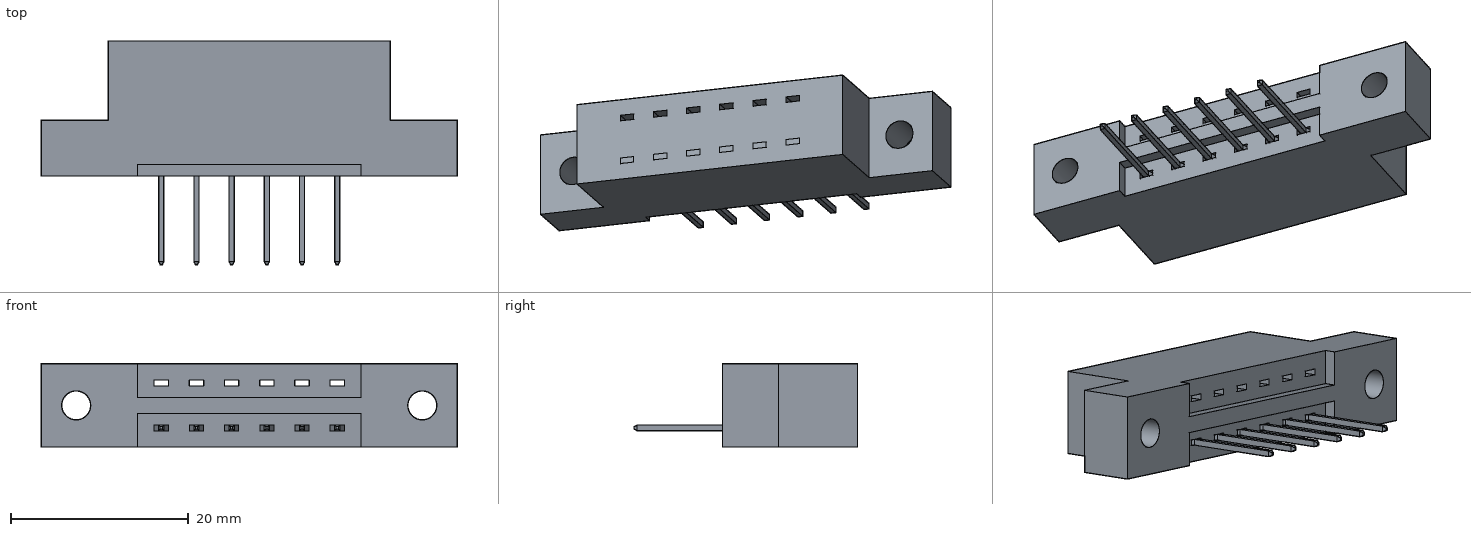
import cadquery as cq

HOUSING_LENGTH = 46.8
HOUSING_HEIGHT = 9.4
FLANGE_DEPTH = 6.3
NOSE_LENGTH = 31.72
NOSE_DEPTH = 8.9
HOUSING_DEPTH = FLANGE_DEPTH + NOSE_DEPTH

MOUNT_HOLE_DIAMETER = 3.25
MOUNT_HOLE_SPACING = 38.95

RECESS_LENGTH = 25.15
RECESS_DEPTH = 1.3
WEB_HEIGHT = 1.82
RECESS_HEIGHT = (HOUSING_HEIGHT - WEB_HEIGHT) / 2

CONTACT_COUNT = 6
CONTACT_ROW_SPAN = 19.8
CONTACT_PITCH = CONTACT_ROW_SPAN / (CONTACT_COUNT - 1)
ROW_OFFSET = 2.55
SLOT_LENGTH = 1.6
SLOT_HEIGHT = 0.65
CONTACT_XS = [i * CONTACT_PITCH - CONTACT_ROW_SPAN / 2 for i in range(CONTACT_COUNT)]

BLADE_WIDTH = SLOT_LENGTH
PIN_HEIGHT = SLOT_HEIGHT
TAIL_WIDTH = 0.6
SHOULDER_START = RECESS_DEPTH
SHOULDER_LENGTH = 1.1
PIN_PROJECTION = 9.95
TIP_LENGTH = 0.37
TIP_SCALE = 0.4


def box_from_front(length, depth, height, x=0, y=0, z=0):
    """Box centred on x and z whose -Y face lies at y."""
    return cq.Workplane("XY").box(length, depth, height, centered=(True, False, True)).translate((x, y, z))


def make_housing():
    """T-shaped block with recesses, mounting holes and contact slots."""
    flange = box_from_front(HOUSING_LENGTH, FLANGE_DEPTH, HOUSING_HEIGHT)
    nose = box_from_front(NOSE_LENGTH, NOSE_DEPTH, HOUSING_HEIGHT, y=FLANGE_DEPTH)
    body = flange.union(nose)

    for side in (-1, 1):
        recess_z = side * (HOUSING_HEIGHT - RECESS_HEIGHT) / 2
        body = body.cut(box_from_front(RECESS_LENGTH, RECESS_DEPTH, RECESS_HEIGHT, z=recess_z))

        mount_hole = cq.Workplane("XZ", origin=(side * MOUNT_HOLE_SPACING / 2, 0, 0))
        body = body.cut(mount_hole.circle(MOUNT_HOLE_DIAMETER / 2).extrude(-FLANGE_DEPTH))

        for x in CONTACT_XS:
            slot = box_from_front(SLOT_LENGTH, HOUSING_DEPTH, SLOT_HEIGHT, x=x, z=side * ROW_OFFSET)
            body = body.cut(slot)
    return body


def make_pin(x):
    """Flat pin in the lower row at x, with a tapered free end."""
    tail_end = TIP_LENGTH - PIN_PROJECTION
    shoulder_end = SHOULDER_START + SHOULDER_LENGTH
    right_side = [
        (TAIL_WIDTH / 2, tail_end),
        (TAIL_WIDTH / 2, SHOULDER_START),
        (BLADE_WIDTH / 2, shoulder_end),
        (BLADE_WIDTH / 2, HOUSING_DEPTH),
    ]
    left_side = [(-px, py) for px, py in reversed(right_side)]
    flat = (
        cq.Workplane("XY", origin=(0, 0, -PIN_HEIGHT / 2))
        .polyline(right_side + left_side)
        .close()
        .extrude(PIN_HEIGHT)
    )
    tip = (
        cq.Workplane("XZ", origin=(0, tail_end, 0))
        .rect(TAIL_WIDTH, PIN_HEIGHT)
        .workplane(offset=TIP_LENGTH)
        .rect(TAIL_WIDTH * TIP_SCALE, PIN_HEIGHT * TIP_SCALE)
        .loft(ruled=True)
    )
    return flat.union(tip).translate((x, 0, -ROW_OFFSET))


housing = make_housing()
pins = [make_pin(x) for x in CONTACT_XS]

result = cq.Compound.makeCompound([housing.solids().val(), *[pin.solids().val() for pin in pins]])